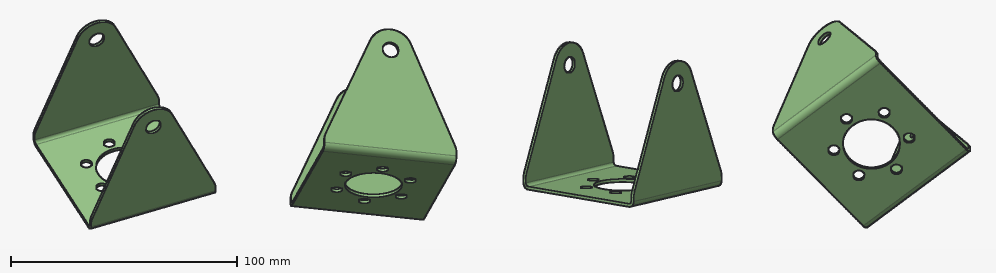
import cadquery as cq
import math

width = 64.2
depth = 60.0
height = 61.5

thickness = 1.5
inner_bend_radius = 1.55
outer_bend_radius = inner_bend_radius + thickness

tip_radius = 10.0
pivot_diameter = 7.2
pivot_height = height - tip_radius
corner_height = 6.2
corner_radius = 8.0
pick_margin = 0.65

centre_diameter = 25.2
bolt_diameter = 5.0
bolt_circle_radius = 16.95
bolt_count = 6


def bent_channel():
    """U-shaped sheet, open at the top, centred on X and Y."""
    outer = (
        cq.Workplane("XY")
        .box(width, depth, height, centered=(True, True, False))
        .edges("|Y and <Z")
        .fillet(outer_bend_radius)
    )
    inner = (
        cq.Workplane("XY")
        .workplane(offset=thickness)
        .box(width - 2 * thickness, depth, height, centered=(True, True, False))
        .edges("|Y and <Z")
        .fillet(inner_bend_radius)
    )
    return outer.cut(inner)


def ear_outline():
    """Side silhouette: tapered sides tangent to a round tip, extruded across the width."""
    half_depth = depth / 2
    rise = pivot_height - corner_height
    corner_to_pivot = math.hypot(half_depth, rise)
    lean = math.atan2(half_depth, rise) - math.asin(tip_radius / corner_to_pivot)
    tangent_y = tip_radius * math.cos(lean)
    tangent_z = pivot_height + tip_radius * math.sin(lean)
    return (
        cq.Workplane("YZ")
        .moveTo(-half_depth, 0)
        .lineTo(half_depth, 0)
        .lineTo(half_depth, corner_height)
        .lineTo(tangent_y, tangent_z)
        .threePointArc((0, height), (-tangent_y, tangent_z))
        .lineTo(-half_depth, corner_height)
        .close()
        .extrude(width / 2, both=True)
        .edges(cq.selectors.BoxSelector(
            (-width, -depth, corner_height - pick_margin),
            (width, depth, corner_height + pick_margin),
        ))
        .edges("|X")
        .fillet(corner_radius)
    )


def pivot_holes():
    """One bore through both ears."""
    return (
        cq.Workplane("YZ")
        .center(0, pivot_height)
        .circle(pivot_diameter / 2)
        .extrude(width / 2, both=True)
    )


def base_holes():
    """Centre opening and its ring of bolt holes."""
    centre = cq.Workplane("XY").circle(centre_diameter / 2).extrude(thickness)
    bolts = (
        cq.Workplane("XY")
        .polarArray(bolt_circle_radius, 0, 360, bolt_count)
        .circle(bolt_diameter / 2)
        .extrude(thickness)
    )
    return centre.union(bolts)


result = bent_channel().intersect(ear_outline()).cut(pivot_holes()).cut(base_holes())